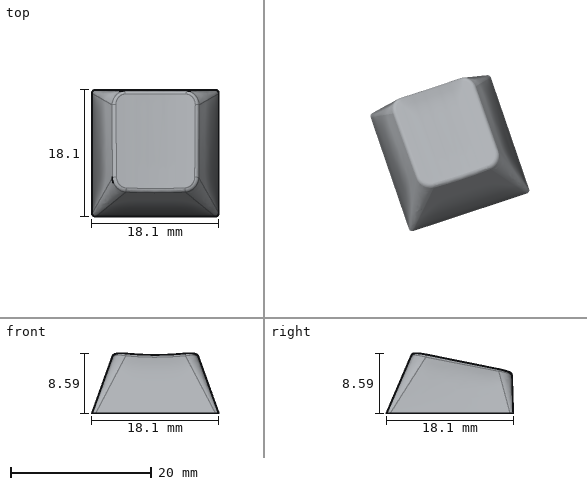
import cadquery as cq
import math

base_size = 18.1
base_corner_radius = 0.49

top_width = 11.98
top_front_y = -5.21
top_back_y = 8.87
top_front_z = 8.95
top_back_z = 6.08
top_corner_radius = 2.1

dish_radius = 40.72
dish_depth = 0.55
rim_radius = 0.55

top_run = top_back_y - top_front_y
top_drop = top_front_z - top_back_z
top_length = math.hypot(top_run, top_drop)
top_plane = cq.Plane(
    origin=(0, (top_front_y + top_back_y) / 2, (top_front_z + top_back_z) / 2),
    xDir=(1, 0, 0),
    normal=(0, top_drop, top_run),
)


def rounded_rectangle(width, length, corner_radius):
    return cq.Sketch().rect(width, length).vertices().fillet(corner_radius)


def make_body():
    """Straight-sided taper from the square base to the leaning top."""
    base = rounded_rectangle(base_size, base_size, base_corner_radius)
    top = rounded_rectangle(top_width, top_length, top_corner_radius)
    leaning_top = top.moved(cq.Location(top_plane))
    return cq.Workplane("XY").placeSketch(base, leaning_top).loft(ruled=True)


def make_dish():
    """Cylinder along the leaning top, dipping dish_depth below its plane."""
    axis_point = top_plane.toWorldCoords((0, 0, dish_radius - dish_depth))
    cross_section = cq.Plane(axis_point, xDir=top_plane.xDir, normal=top_plane.yDir)
    return cq.Workplane(cross_section).circle(dish_radius).extrude(top_length, both=True)


dished_body = make_body().cut(make_dish())

result = dished_body.faces("%CYLINDER").edges().fillet(rim_radius)